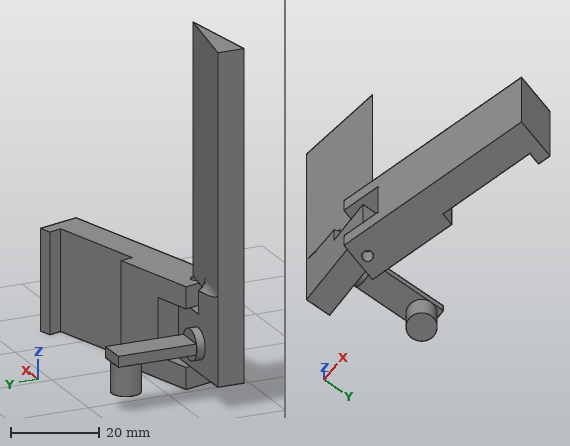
import cadquery as cq
import math

pivot_x = 18.9
pivot_hole_diameter = 2.7

overall_height = 86.3
cover_height = 24.85
arm_thickness = 5.35
tang_bottom = arm_thickness
tang_top = cover_height - arm_thickness

blade_thickness = 6.55
half_thickness = blade_thickness / 2
blade_depth = 20.8
tang_length = 21.6
block_length = 10.6
wedge_fillet_radius = 3.0

lever_x = 10.7
lever_z = (tang_bottom + tang_top) / 2
boss_diameter = 7.6
boss_length = 2.1
lever_width = 7.1
lever_thickness = 2.7
lever_length = 19.5
grip_drop = 7.5

cover_angle = 16.2
cover_length = 50.6
cover_width = 10.7
pivot_setback = 2.7
hinge_length = 22.6
step_depth = 3.3
lip_length = 3.3
notch_length = 9.75


def vertical_box(x_start, x_end, y_start, y_end, z_start, z_end):
    """Box between the given limits."""
    size = (x_end - x_start, y_end - y_start, z_end - z_start)
    return cq.Workplane("XY").box(*size, centered=False).translate((x_start, y_start, z_start))


def pivot_hole():
    """Vertical cutter through the full cover height, on the pivot axis."""
    return cq.Workplane("XY").center(pivot_x, 0).circle(pivot_hole_diameter / 2).extrude(cover_height)


def make_wedge():
    """Tall blade that tapers to a sharp vertical edge."""
    outline = [(0, -half_thickness), (blade_depth, 0), (0, half_thickness)]
    wedge_height = overall_height - cover_height
    return cq.Workplane("XY").workplane(offset=cover_height).polyline(outline).close().extrude(wedge_height)


def make_wedge_fillets():
    """Concave fillets that blend the two wedge faces into the block below."""
    fillet_top = cover_height + wedge_fillet_radius
    fillets = vertical_box(0, block_length, -half_thickness, half_thickness, cover_height, fillet_top)
    taper = math.atan2(half_thickness, blade_depth)
    for side in (-1, 1):
        axis_start = cq.Vector(
            wedge_fillet_radius * math.sin(taper),
            side * (half_thickness + wedge_fillet_radius * math.cos(taper)),
            fillet_top,
        )
        direction = cq.Vector(math.cos(taper), -side * math.sin(taper), 0)
        groove = cq.Solid.makeCylinder(
            wedge_fillet_radius, 2 * blade_depth, axis_start - direction * (blade_depth / 2), direction
        )
        fillets = fillets.cut(cq.Workplane(groove))
    return fillets


def make_lever():
    """Round boss, flat lever and downward grip."""
    boss = (
        cq.Workplane("XZ", origin=(lever_x, half_thickness, lever_z))
        .circle(boss_diameter / 2)
        .extrude(-boss_length)
    )
    lever_start = half_thickness + boss_length
    lever_end = lever_start + lever_length
    lever_bottom = lever_z - lever_thickness / 2
    lever = vertical_box(
        lever_x - lever_width / 2, lever_x + lever_width / 2,
        lever_start, lever_end,
        lever_bottom, lever_bottom + lever_thickness,
    )
    grip = (
        cq.Workplane("XY", origin=(lever_x, lever_end - lever_width / 2, lever_bottom))
        .circle(lever_width / 2)
        .extrude(-grip_drop)
    )
    return boss.union(lever).union(grip)


def make_blade():
    """Block with hinge tang, wedge blade and operating lever."""
    tang = vertical_box(0, tang_length, -half_thickness, half_thickness, tang_bottom, tang_top)
    block = vertical_box(0, block_length, -half_thickness, half_thickness, tang_bottom, cover_height)
    body = tang.union(block).cut(pivot_hole())
    return body.union(make_wedge()).union(make_wedge_fillets()).union(make_lever())


def make_cover():
    """Stepped plate with an end lip and two hinge arms around the tang."""
    plate_width = cover_width - step_depth
    lip_start = cover_length - lip_length
    outline = [
        (0, 0),
        (cover_length, 0),
        (cover_length, cover_width),
        (lip_start, cover_width),
        (lip_start, plate_width),
        (hinge_length, plate_width),
        (hinge_length, cover_width),
        (0, cover_width),
    ]
    plate = cq.Workplane("XY").polyline(outline).close().extrude(cover_height)
    plate = plate.cut(vertical_box(0, notch_length, 0, cover_width, tang_bottom, tang_top))
    plate = plate.translate((pivot_x - pivot_setback, -cover_width / 2, 0))
    plate = plate.rotate((pivot_x, 0, 0), (pivot_x, 0, 1), cover_angle)
    return plate.cut(pivot_hole())


blade = make_blade()
cover = make_cover()
result = cq.Compound.makeCompound([blade.val(), cover.val()])